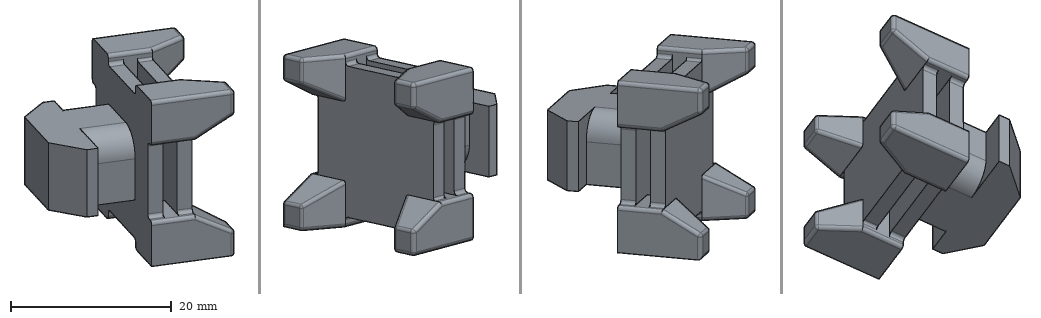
import cadquery as cq
import math

frame_width = 22.2
notch_width = 10.17
notch_depth = 1.4
plate_thickness = 1.98
rear_plate_back = 5.85
post_length = 11.02
post_tip_width = 3.28
edge_radius = 0.51
tight_radius = 0.35
quarter_turns = 4
sharp_quarter = 1

overall_length = 22.3
key_height = 9.08
stem_width = 9.85
stem_radius = 3.52
head_width = 16.41
head_length = 5.25
head_chamfer = 3.75

half_frame = frame_width / 2
half_notch = notch_width / 2
core_width = frame_width - 2 * notch_depth
half_core = core_width / 2
post_tip_inner = half_frame - post_tip_width
rear_plate_front = rear_plate_back - plate_thickness
key_length = overall_length - post_length
stem_length = key_length - head_length


def block(x_size, y_start, y_end, z_size):
    """Box centred on the Y axis, between two Y positions."""
    middle = (y_start + y_end) / 2
    return cq.Workplane("XY").box(x_size, y_end - y_start, z_size).translate((0, middle, 0))


def post(round_outer_corner):
    """Corner post at +X +Z with two sloped inner faces."""
    profile = [
        (half_frame, 0),
        (half_notch, 0),
        (half_notch, rear_plate_back),
        (post_tip_inner, post_length),
        (half_frame, post_length),
    ]
    sloped_in_x = cq.Workplane("XY").polyline(profile).close().extrude(half_frame)
    sloped_in_z = cq.Workplane("ZY").polyline(profile).close().extrude(-half_frame)
    shape = sloped_in_x.intersect(sloped_in_z)
    slope_edges = shape.edges("not (|X or |Y or |Z)")
    tip_edges = shape.faces(">Y").edges()
    side_edges = shape.edges("|Y").edges("(>X and <Z) or (<X and >Z)")
    rounded_edges = slope_edges.add(tip_edges).add(side_edges)
    if round_outer_corner:
        rounded_edges = rounded_edges.add(shape.edges("|Y").edges(">X and >Z"))
    return rounded_edges.fillet(edge_radius)


def notch_fillet(radius, y_start, y_end):
    """Concave round at the +X end of the +Z notch floor."""
    x_centre = half_notch - radius
    z_centre = half_core + radius
    arc_offset = radius * math.sqrt(0.5)
    return (
        cq.Workplane("XZ", origin=(0, y_start, 0))
        .moveTo(half_notch, half_core)
        .lineTo(half_notch, z_centre)
        .threePointArc((x_centre + arc_offset, z_centre - arc_offset), (x_centre, half_core))
        .close()
        .extrude(y_start - y_end)
    )


def turn(shape, quarter):
    """Shape turned about the Y axis, carrying +X +Z to the given corner."""
    return shape.rotate((0, 0, 0), (0, 1, 0), 360 / quarter_turns * quarter)


front_plate = block(core_width, 0, plate_thickness, core_width)
rear_plate = block(core_width, rear_plate_front, rear_plate_back, core_width)
result = front_plate.union(rear_plate)

for quarter in range(quarter_turns):
    corner_post = post(round_outer_corner=quarter != sharp_quarter)
    result = result.union(turn(corner_post, quarter))

front_rounds = notch_fillet(edge_radius, 0, plate_thickness)
front_rounds = front_rounds.union(front_rounds.mirror("YZ"))
rear_rounds = notch_fillet(edge_radius, rear_plate_front, rear_plate_back)
rear_tight_round = notch_fillet(tight_radius, rear_plate_front, rear_plate_back).mirror("YZ")
rear_rounds = rear_rounds.union(rear_tight_round)
for quarter in range(quarter_turns):
    result = result.union(turn(front_rounds, quarter)).union(turn(rear_rounds, quarter))

stem = block(stem_width, -stem_length, 0, key_height)
stem = stem.edges("|Y").edges("(>X and >Z) or (<X and <Z)").fillet(stem_radius)
head = block(head_width, -key_length, -stem_length, key_height)
head = head.faces("<Y").edges("|Z").chamfer(head_chamfer)
result = result.union(stem).union(head)